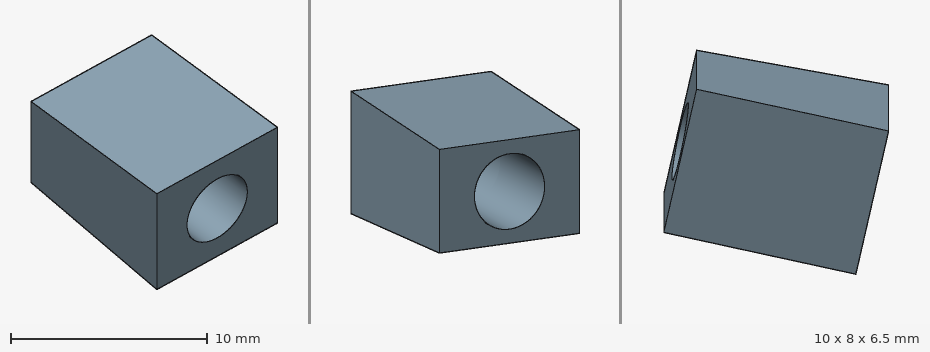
import cadquery as cq

length = 10.0
width = 8.0
small_end_height = 5.5
large_end_height = 6.5
bore_diameter = 4.0


def tapered_block():
    """Block whose height grows evenly from the -X end to the +X end, centred on the origin."""
    profile = [
        (-length / 2, -small_end_height / 2),
        (length / 2, -large_end_height / 2),
        (length / 2, large_end_height / 2),
        (-length / 2, small_end_height / 2),
    ]
    return cq.Workplane("XZ").polyline(profile).close().extrude(width / 2, both=True)


def through_bore():
    """Cylinder along X, passing through the full length of the block."""
    return cq.Workplane("YZ").circle(bore_diameter / 2).extrude(length / 2, both=True)


result = tapered_block().cut(through_bore())